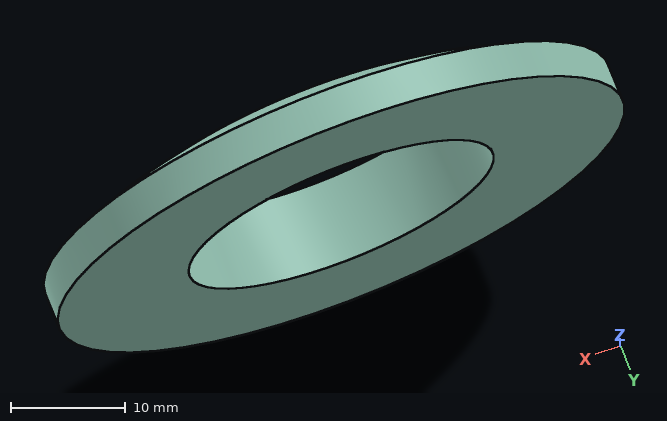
import cadquery as cq
import math

outer_radius = 26.5
bore_radius = 14.25
thickness = 7.6
rim_thickness = 3.45

rim_y = -rim_thickness
front_y = -thickness

dome_height = thickness - rim_thickness
center_to_rim = (outer_radius**2 - bore_radius**2 - dome_height**2) / (2 * dome_height)
sphere_radius = math.hypot(outer_radius, center_to_rim)
sphere_center_y = rim_y + center_to_rim

mid_radius = (outer_radius + bore_radius) / 2
mid_y = sphere_center_y - math.sqrt(sphere_radius**2 - mid_radius**2)

half_section = (
    cq.Workplane("XY")
    .moveTo(bore_radius, 0)
    .lineTo(outer_radius, 0)
    .lineTo(outer_radius, rim_y)
    .threePointArc((mid_radius, mid_y), (bore_radius, front_y))
    .close()
)
result = half_section.revolve(360, (0, 0, 0), (0, 1, 0))